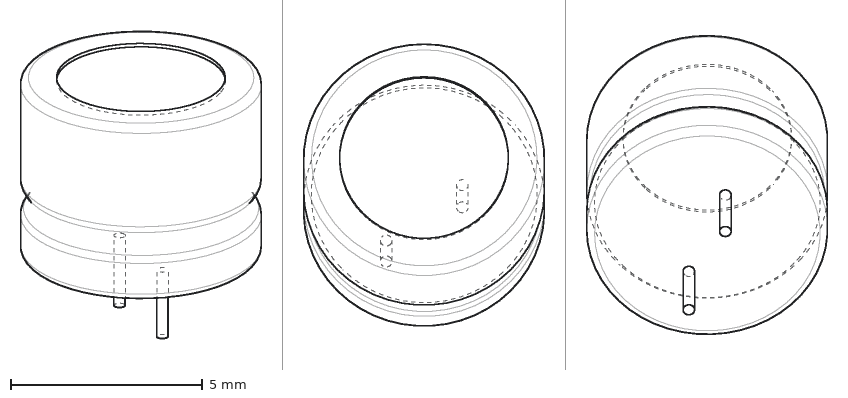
import cadquery as cq
import math

total_height = 7.0
body_diameter = 6.3
long_pin_length = 2.0
body_height = total_height - long_pin_length
body_radius = body_diameter / 2
edge_radius = 0.2

groove_height = 1.6
groove_depth = 0.195
groove_radius = 0.5
blend_radius = 0.3

recess_diameter = 4.41
recess_depth = 0.1

pin_diameter = 0.3
pin_pitch = 2.5
short_pin_length = 1.905


def make_body():
    """Revolve the half section of the can, then round its end edges."""
    radius_sum = groove_radius + blend_radius
    blend_angle = math.acos(1 - groove_depth / radius_sum)
    groove_half_width = radius_sum * math.sin(blend_angle)
    groove_floor = body_radius - groove_depth

    tangent_radius = groove_floor + groove_radius * (1 - math.cos(blend_angle))
    tangent_offset = groove_radius * math.sin(blend_angle)

    middle_radius = body_radius - blend_radius * (1 - math.cos(blend_angle / 2))
    middle_offset = groove_half_width - blend_radius * math.sin(blend_angle / 2)

    section = (
        cq.Workplane("XZ")
        .lineTo(body_radius, 0)
        .lineTo(body_radius, groove_height - groove_half_width)
        .threePointArc(
            (middle_radius, groove_height - middle_offset),
            (tangent_radius, groove_height - tangent_offset),
        )
        .threePointArc(
            (groove_floor, groove_height),
            (tangent_radius, groove_height + tangent_offset),
        )
        .threePointArc(
            (middle_radius, groove_height + middle_offset),
            (body_radius, groove_height + groove_half_width),
        )
        .lineTo(body_radius, body_height)
        .lineTo(0, body_height)
        .close()
    )
    body = section.revolve(360, (0, 0, 0), (0, 1, 0))
    return body.faces("<Z or >Z").edges().fillet(edge_radius)


def make_recess():
    """Disc to remove from the top face."""
    recess_floor = cq.Workplane("XY").workplane(offset=body_height - recess_depth)
    return recess_floor.circle(recess_diameter / 2).extrude(recess_depth)


def make_pin(x, length):
    """Round pin hanging from the bottom of the can."""
    return cq.Workplane("XY").center(x, 0).circle(pin_diameter / 2).extrude(-length)


result = make_body().cut(make_recess())
for pin_x, pin_length in ((-pin_pitch / 2, long_pin_length), (pin_pitch / 2, short_pin_length)):
    result = result.union(make_pin(pin_x, pin_length))